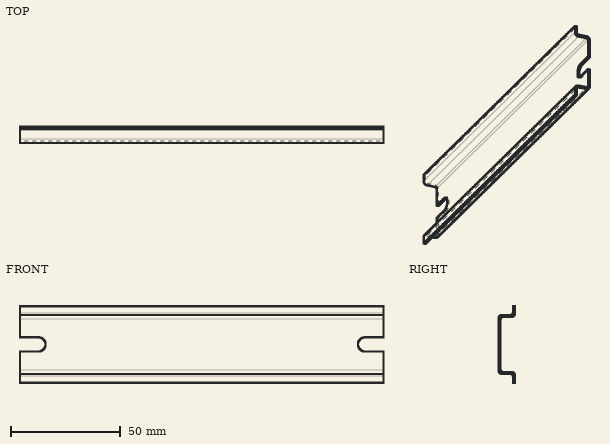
import cadquery as cq

LENGTH = 166.0
DEPTH = 7.5
HEIGHT = 35.0

THICKNESS = 1.0
INNER_RADIUS = 0.8
OUTER_RADIUS = INNER_RADIUS + THICKNESS
CHANNEL_HEIGHT = 27.0

SLOT_WIDTH = 6.4
SLOT_CENTER = 8.5
SLOT_REACH = SLOT_CENTER + SLOT_WIDTH / 2

WEB_FRONT = -DEPTH / 2
WEB_BACK = WEB_FRONT + THICKNESS
FLANGE_BACK = DEPTH / 2
FLANGE_FRONT = FLANGE_BACK - THICKNESS

HALF_HEIGHT = HEIGHT / 2
CHANNEL_OUTSIDE = CHANNEL_HEIGHT / 2
CHANNEL_INSIDE = CHANNEL_OUTSIDE - THICKNESS


def sharp_rail():
    """Hat-shaped sheet section in the YZ plane, extruded along X with sharp corners."""
    upper = [
        (WEB_FRONT, CHANNEL_OUTSIDE),
        (FLANGE_FRONT, CHANNEL_OUTSIDE),
        (FLANGE_FRONT, HALF_HEIGHT),
        (FLANGE_BACK, HALF_HEIGHT),
        (FLANGE_BACK, CHANNEL_INSIDE),
        (WEB_BACK, CHANNEL_INSIDE),
    ]
    lower = [(y, -z) for y, z in reversed(upper)]
    return cq.Workplane("YZ").polyline(upper + lower).close().extrude(LENGTH / 2, both=True)


def round_bends(body):
    """Round both sides of the sheet at its four bends."""
    bend_corners = [
        (WEB_FRONT, CHANNEL_OUTSIDE, OUTER_RADIUS),
        (WEB_BACK, CHANNEL_INSIDE, INNER_RADIUS),
        (FLANGE_BACK, CHANNEL_INSIDE, OUTER_RADIUS),
        (FLANGE_FRONT, CHANNEL_OUTSIDE, INNER_RADIUS),
    ]
    for y, z, radius in bend_corners:
        for side in (1, -1):
            corner_edge = cq.selectors.NearestToPointSelector((0, y, side * z))
            body = body.edges(corner_edge).fillet(radius)
    return body


def end_slot(side):
    """Cutter for the round-ended slot, open at the rail end on the given side of X."""
    return (
        cq.Workplane("XZ", origin=(side * LENGTH / 2, 0, 0))
        .slot2D(2 * SLOT_REACH, SLOT_WIDTH)
        .extrude(DEPTH, both=True)
    )


result = round_bends(sharp_rail())
for end in (1, -1):
    result = result.cut(end_slot(end))